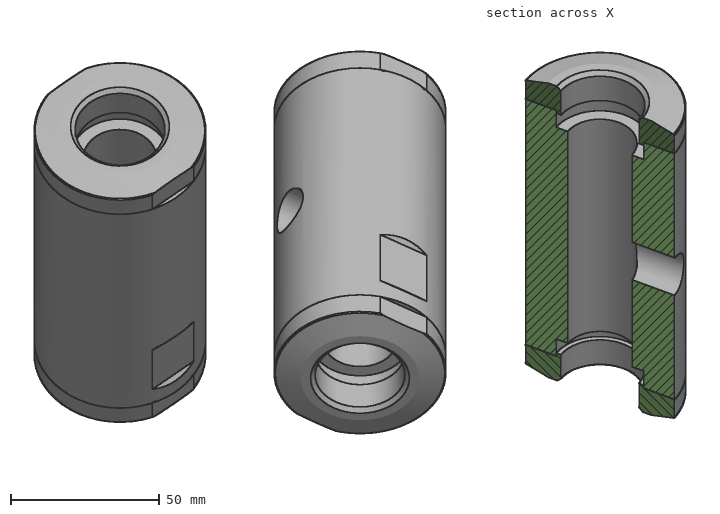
import cadquery as cq
import math

total_length = 130.0
outer_diameter = 58.0
flat_spacing = 55.0

collar_length = 10.7
spigot_length = 1.5
spigot_diameter = 33.8
cap_bore_diameter = 30.3
cap_mouth_diameter = 33.3
end_face_diameter = 39.9
end_cone_angle = 15.0
rim_chamfer = 0.4

through_bore_diameter = 25.0
ledge_depth = 18.2
pocket_bottom = 18.3
pocket_height = 22.0
port_diameter = 16.4
port_height = total_length / 2

housing_length = total_length - 2 * collar_length
counterbore_depth = ledge_depth - collar_length
flat_x = flat_spacing / 2


def make_housing():
    """Tube with a counterbore at each end, two side pockets and a radial port."""
    body = (
        cq.Workplane("XY")
        .workplane(offset=collar_length)
        .circle(outer_diameter / 2)
        .circle(through_bore_diameter / 2)
        .extrude(housing_length)
    )
    for counterbore_start in (collar_length, total_length - ledge_depth):
        counterbore = (
            cq.Workplane("XY")
            .workplane(offset=counterbore_start)
            .circle(spigot_diameter / 2)
            .extrude(counterbore_depth)
        )
        body = body.cut(counterbore)
    for side in (-1, 1):
        body = body.cut(make_pocket(side))
    return body.cut(make_port())


def make_pocket(side):
    """Flat-floored pocket with 45 degree ends; side is the sign of X."""
    outer_x = outer_diameter / 2
    slope_run = outer_x - flat_x
    pocket_top = pocket_bottom + pocket_height
    return (
        cq.Workplane("XZ")
        .moveTo(side * flat_x, pocket_bottom)
        .lineTo(side * outer_x, pocket_bottom - slope_run)
        .lineTo(side * outer_x, pocket_top + slope_run)
        .lineTo(side * flat_x, pocket_top)
        .close()
        .extrude(outer_diameter / 2, both=True)
    )


def make_port():
    """Cylinder for the radial hole from the +Y side into the bore."""
    return (
        cq.Workplane("XZ", origin=(0, 0, port_height))
        .circle(port_diameter / 2)
        .extrude(-outer_diameter / 2)
    )


def make_bottom_cap():
    """Ring with a conical end at Z = 0, wrench flats and a spigot on top."""
    cap_radius = outer_diameter / 2
    bore_radius = cap_bore_diameter / 2
    mouth_radius = cap_mouth_diameter / 2
    end_face_radius = end_face_diameter / 2
    spigot_radius = spigot_diameter / 2
    cone_radius = cap_radius - rim_chamfer
    cone_height = (cone_radius - end_face_radius) * math.tan(math.radians(end_cone_angle))
    cap_top = collar_length + spigot_length

    ring = (
        cq.Workplane("XZ")
        .moveTo(mouth_radius, 0)
        .lineTo(end_face_radius, 0)
        .lineTo(cone_radius, cone_height)
        .lineTo(cap_radius, cone_height + rim_chamfer)
        .lineTo(cap_radius, collar_length)
        .lineTo(spigot_radius, collar_length)
        .lineTo(spigot_radius, cap_top)
        .lineTo(bore_radius, cap_top)
        .lineTo(bore_radius, mouth_radius - bore_radius)
        .close()
        .revolve(360, (0, 0), (0, 1))
    )
    between_flats = cq.Workplane("XY").box(
        flat_spacing, outer_diameter, cap_top, centered=(True, True, False)
    )
    return ring.intersect(between_flats)


def make_cap(at_top):
    """End cap in place; the top cap mirrors the bottom one about mid-length."""
    cap = make_bottom_cap()
    if at_top:
        cap = cap.mirror("XY", (0, 0, total_length / 2))
    return cap


housing = make_housing()
caps = [make_cap(at_top) for at_top in (False, True)]

result = cq.Compound.makeCompound([housing.val(), *[cap.val() for cap in caps]])